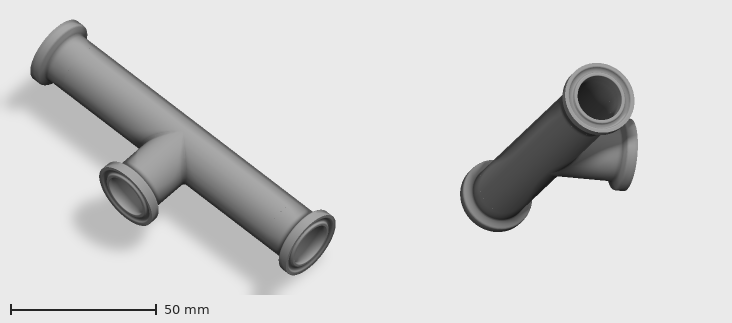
import cadquery as cq
import math

total_length = 120.6
total_depth = 41.1

tube_radius = 19.0 / 2
bore_radius = 15.8 / 2
ferrule_length = 12.5
tee_branch_length = 11.2
crotch_fillet = 1.2

flange_radius = 25.0 / 2
rim_width = 3.5
back_angle = 25.0
rim_fillet = 0.8
neck_fillet = 0.7

groove_outer_radius = 22.0 / 2
groove_inner_radius = 9.2
groove_depth = 1.0
groove_edge_fillet = 0.5
bore_edge_fillet = 0.2

branch_reach = total_depth - flange_radius
branch_ferrule_length = branch_reach - tee_branch_length
tee_half_length = total_length / 2 - ferrule_length
neck_height = rim_width + (flange_radius - tube_radius) * math.tan(math.radians(back_angle))


def crossed_cylinders(radius):
    """Cylinder along X joined to a cylinder of the same radius toward -Y."""
    run = cq.Workplane("YZ").circle(radius).extrude(tee_half_length, both=True)
    branch = cq.Workplane("XZ").circle(radius).extrude(tee_branch_length)
    return run.union(branch)


def make_tee():
    """Run tube with an equal branch and a rounded crotch, bored through."""
    body = crossed_cylinders(tube_radius).edges("%ELLIPSE").fillet(crotch_fillet)
    return body.cut(crossed_cylinders(bore_radius))


def make_groove():
    """Ring with an arc section that is cut into the flange face."""
    groove_middle = (groove_outer_radius + groove_inner_radius) / 2
    return (
        cq.Workplane("XZ")
        .moveTo(groove_inner_radius, 0)
        .threePointArc((groove_middle, groove_depth), (groove_outer_radius, 0))
        .close()
        .revolve(360, (0, 0), (0, 1))
    )


def circles_at(height):
    """Selector for the full circles around the Z axis at one height."""
    margin = 0.01
    return cq.selectors.BoxSelector((-margin, -margin, height - margin), (margin, margin, height + margin))


def make_ferrule(length):
    """Clamp ferrule with its flange face at Z = 0 and its tube toward +Z."""
    ferrule = (
        cq.Workplane("XZ")
        .moveTo(bore_radius, 0)
        .lineTo(flange_radius, 0)
        .lineTo(flange_radius, rim_width)
        .lineTo(tube_radius, neck_height)
        .lineTo(tube_radius, length)
        .lineTo(bore_radius, length)
        .close()
        .revolve(360, (0, 0), (0, 1))
    )
    ferrule = ferrule.edges(circles_at(rim_width)).fillet(rim_fillet)
    ferrule = ferrule.edges(circles_at(neck_height)).fillet(neck_fillet)
    ferrule = ferrule.cut(make_groove())
    face_circles = ferrule.edges(circles_at(0))
    inner_edge = face_circles.edges(cq.selectors.RadiusNthSelector(1))
    outer_edge = face_circles.edges(cq.selectors.RadiusNthSelector(2))
    ferrule = inner_edge.add(outer_edge).fillet(groove_edge_fillet)
    bore_edge = ferrule.edges(circles_at(0)).edges(cq.selectors.RadiusNthSelector(0))
    return bore_edge.fillet(bore_edge_fillet)


tee = make_tee()

run_ferrules = []
for side in (-1, 1):
    run_ferrule = (
        make_ferrule(ferrule_length)
        .rotate((0, 0, 0), (0, 1, 0), -90 * side)
        .translate((side * total_length / 2, 0, 0))
    )
    run_ferrules.append(run_ferrule)

branch_ferrule = (
    make_ferrule(branch_ferrule_length)
    .rotate((0, 0, 0), (1, 0, 0), -90)
    .translate((0, -branch_reach, 0))
)

result = cq.Compound.makeCompound(
    [tee.val(), *[ferrule.val() for ferrule in run_ferrules], branch_ferrule.val()]
)